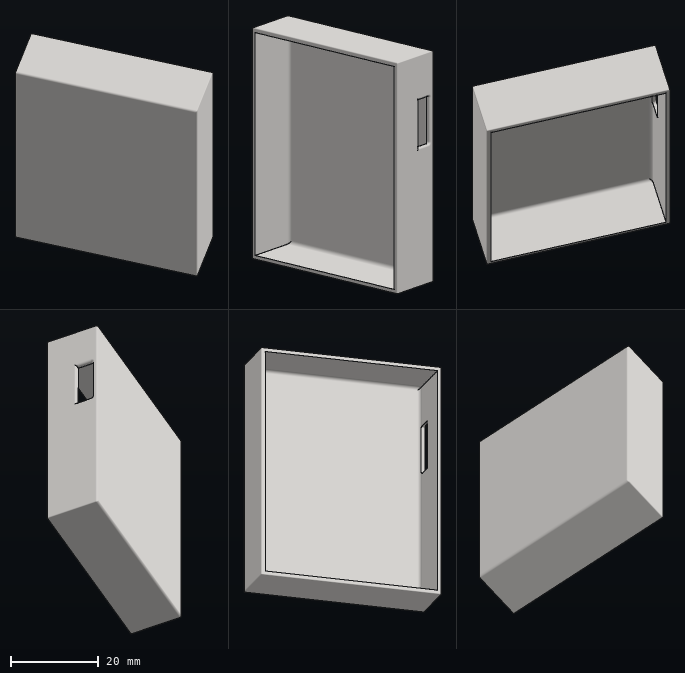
import cadquery as cq

width = 43.25
depth = 13.0
height = 55.0
wall = 1.0

front_radius = 0.5
corner_radius = 0.2
rim_radius = 0.2
floor_radius = 0.8

window_rim_radius = 0.5
window_front = 1.4
window_back = 5.45
window_bottom = 33.0
window_top = 44.45
window_corner_radius = 0.5


def shell_body():
    """Rounded outer block with a pocket open at the back."""
    block = (
        cq.Workplane("XY")
        .box(width, depth, height, centered=(True, False, False))
        .edges("|Y")
        .fillet(corner_radius)
        .faces("<Y")
        .edges()
        .fillet(front_radius)
        .faces(">Y")
        .edges()
        .fillet(rim_radius)
    )
    pocket = (
        cq.Workplane("XY")
        .box(width - 2 * wall, depth, height - 2 * wall, centered=(True, False, False))
        .translate((0, wall, wall))
        .faces("<Y")
        .edges()
        .fillet(floor_radius)
    )
    return block.cut(pocket)


def cut_window(body):
    """Cut the side window, with its two front corners rounded, and round its outer rim."""
    window_depth = window_back - window_front
    window_height = window_top - window_bottom
    cut_length = wall + floor_radius
    cutter = (
        cq.Workplane("XY")
        .box(cut_length, window_depth, window_height, centered=False)
        .translate((-width / 2, window_front, window_bottom))
        .edges("|X and <Y")
        .fillet(window_corner_radius)
    )
    outer_face = body.cut(cutter).faces("<X")
    rim = outer_face.val().innerWires()[0]
    return outer_face.newObject(rim.Edges()).fillet(window_rim_radius)


result = cut_window(shell_body())